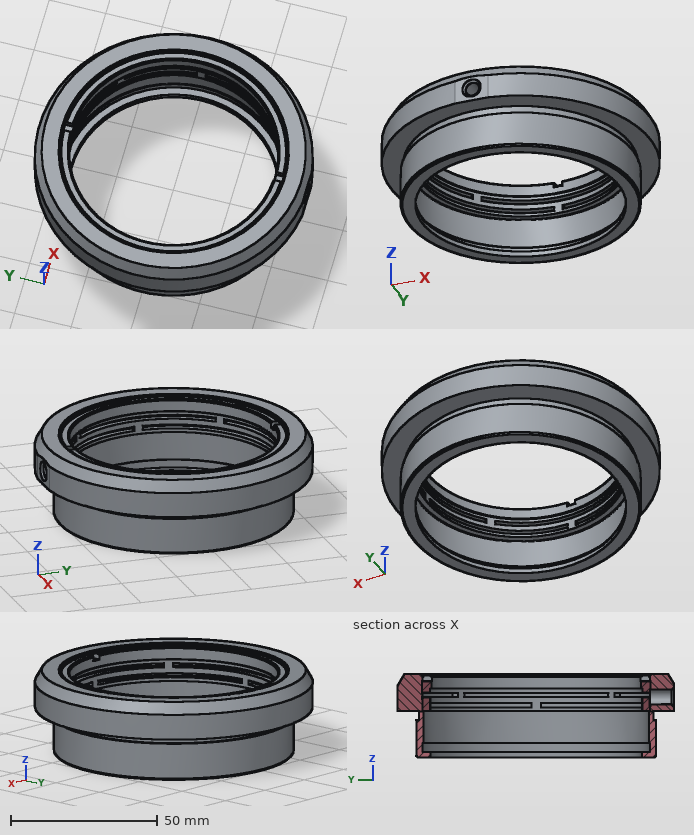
import cadquery as cq
import math

lip_top = 2.0
relief_top = 4.9
neck_bottom = 12.8
joint_level = 15.9
flange_shoulder = 24.6
flange_top = 28.6
ring_top = 28.0

barrel_radius = 41.1
neck_radius = 40.2
barrel_bore_radius = 38.5
relief_radius = 38.8
lip_radius = 36.0
barrel_chamfer = 0.6

flange_radius = 47.5
flange_top_radius = 45.2
flange_bore_radius = 38.9
flange_bore_chamfer = 0.5
flat_distance = 47.15
screw_level = 20.7
screw_hole_radius = 2.5
countersink_radius = 3.3
countersink_depth = countersink_radius - screw_hole_radius

ring_bore_radius = 35.7
ring_skirt_bore_radius = 36.2
ring_step_level = 23.6
ring_chamfer = 0.5
notch_width = 3.1
notch_depth = 1.9
slit_height = 1.4
upper_slit_bottom = screw_level
lower_slit_bottom = 17.2
slit_count = 4
web_width = 3.1
upper_web_angle = 45.0
lower_web_angle = 0.0


def revolve_profile(points):
    """Revolve a closed (radius, height) outline about the Z axis."""
    return cq.Workplane("XZ").polyline(points).close().revolve(360, (0, 0), (0, 1))


def make_barrel():
    return revolve_profile([
        (lip_radius, 0),
        (barrel_radius - barrel_chamfer, 0),
        (barrel_radius, barrel_chamfer),
        (barrel_radius, neck_bottom),
        (neck_radius, neck_bottom),
        (neck_radius, joint_level),
        (barrel_bore_radius, joint_level),
        (barrel_bore_radius, relief_top),
        (relief_radius, relief_top),
        (relief_radius, lip_top),
        (lip_radius, lip_top),
    ])


def make_screw_hole():
    """Radial hole with a conical mouth, cut inwards from the flat."""
    wall_depth = flat_distance - ring_bore_radius
    flat_point = cq.Vector(0, -flat_distance, screw_level)
    inward = cq.Vector(0, 1, 0)
    bore = cq.Solid.makeCylinder(screw_hole_radius, wall_depth, flat_point, inward)
    mouth = cq.Solid.makeCone(
        countersink_radius, screw_hole_radius, countersink_depth, flat_point, inward
    )
    return bore.fuse(mouth)


def make_flange():
    flange = revolve_profile([
        (flange_bore_radius, joint_level),
        (flange_radius, joint_level),
        (flange_radius, flange_shoulder),
        (flange_top_radius, flange_top),
        (flange_bore_radius + flange_bore_chamfer, flange_top),
        (flange_bore_radius, flange_top - flange_bore_chamfer),
    ])
    flat_cutter = cq.Workplane("XY").box(
        2 * flange_radius, flange_radius, flange_top, centered=(True, False, False)
    ).translate((0, -flat_distance - flange_radius, 0))
    return flange.cut(flat_cutter).cut(cq.Workplane(make_screw_hole()))


def make_slits(bottom, first_web_angle):
    """Row of arc slits through the ring wall, parted by radial webs."""
    level = cq.Workplane("XY").workplane(offset=bottom)
    slits = level.circle(flange_bore_radius).circle(ring_bore_radius).extrude(slit_height)
    for index in range(slit_count):
        angle = first_web_angle + index * 360 / slit_count
        web = level.center(
            flange_bore_radius * math.cos(math.radians(angle)),
            flange_bore_radius * math.sin(math.radians(angle)),
        ).transformed(rotate=(0, 0, angle)).rect(flange_bore_radius, web_width).extrude(slit_height)
        slits = slits.cut(web)
    return slits


def make_ring():
    ring = revolve_profile([
        (ring_skirt_bore_radius, joint_level),
        (flange_bore_radius, joint_level),
        (flange_bore_radius, ring_top - ring_chamfer),
        (flange_bore_radius - ring_chamfer, ring_top),
        (ring_bore_radius + ring_chamfer, ring_top),
        (ring_bore_radius, ring_top - ring_chamfer),
        (ring_bore_radius, ring_step_level),
        (ring_skirt_bore_radius, ring_step_level),
    ])
    notches = cq.Workplane("XY").workplane(offset=ring_top - notch_depth).rect(
        notch_width, 2 * flange_radius
    ).extrude(notch_depth)
    upper_slits = make_slits(upper_slit_bottom, upper_web_angle)
    lower_slits = make_slits(lower_slit_bottom, lower_web_angle)
    return ring.cut(notches).cut(upper_slits).cut(lower_slits)


barrel = make_barrel()
flange = make_flange()
ring = make_ring()

result = cq.Compound.makeCompound([barrel.val(), flange.val(), ring.val()])